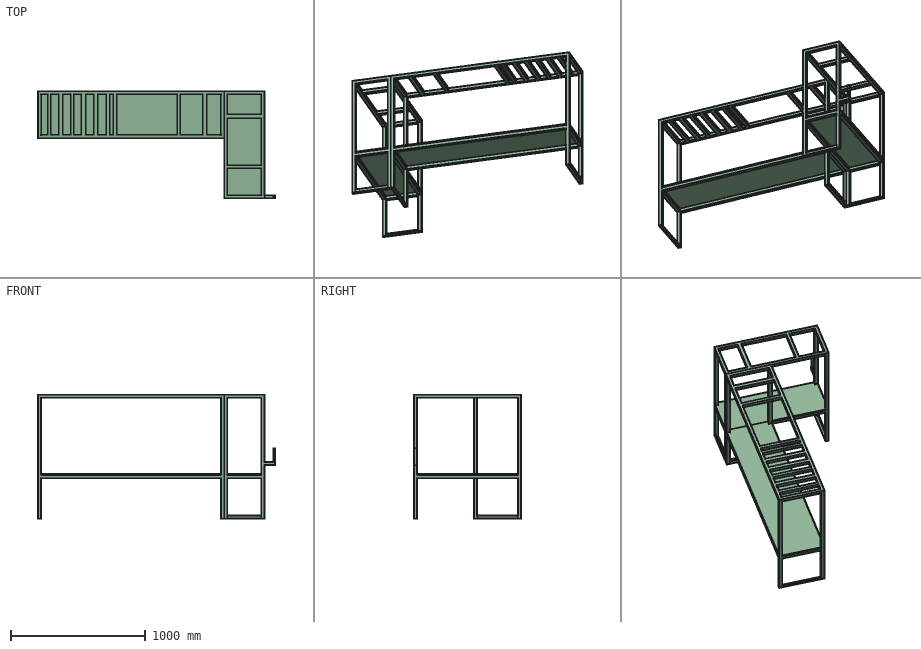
import cadquery as cq
TOTAL_LENGTH = 1770.0
HEIGHT = 925.0
TUBE = 25.0
WIDE_TUBE = 30.0

RETURN_WIDTH = 300.0
RETURN_DEPTH = 800.0
HOOK_REACH = 80.0
DESK_LENGTH = TOTAL_LENGTH - HOOK_REACH - RETURN_WIDTH
DESK_DEPTH = 352.0

SHELF_RAIL_BOTTOM = 300.0
SHELF_RAIL_TOP = SHELF_RAIL_BOTTOM + TUBE
TOP_RAIL_BOTTOM = HEIGHT - TUBE
BOARD_THICKNESS = 10.0
ANGLE_THICKNESS = 4.0

DESK_BARS = [
    (73.0, TUBE),
    (155.0, WIDE_TUBE),
    (245.0, TUBE),
    (325.0, WIDE_TUBE),
    (418.0, WIDE_TUBE),
    (511.0, TUBE),
    (563.0, TUBE),
    (1039.0, TUBE),
    (1228.0, WIDE_TUBE),
]
RETURN_BARS = [(223.0, TUBE), (596.0, WIDE_TUBE)]

HOOK_BOTTOM = 400.0
HOOK_TOP = 525.0
HOOK_POST_LENGTH = 16.0
HOOK_POST_WIDTH = 20.0

DESK_X = 0.0
DESK_Y = RETURN_DEPTH - DESK_DEPTH
RETURN_X = DESK_LENGTH
RETURN_Y = 0.0


def block(x, y, z, length, depth, height):
    """Box with its lowest corner at (x, y, z)."""
    return cq.Workplane("XY").box(length, depth, height, centered=False).translate((x, y, z))


def legs(x, y, length, depth, bottom, height):
    """Four square posts at the corners of a rectangle."""
    posts = cq.Workplane("XY")
    for post_x in (x, x + length - TUBE):
        for post_y in (y, y + depth - TUBE):
            posts = posts.add(block(post_x, post_y, bottom, TUBE, TUBE, height))
    return posts.combine()


def rails_along_x(x, y, z, length, depth):
    """Front and back rails of a rectangle."""
    front = block(x, y, z, length, TUBE, TUBE)
    return front.union(block(x, y + depth - TUBE, z, length, TUBE, TUBE))


def rails_along_y(x, y, z, length, depth):
    """Left and right rails of a rectangle."""
    left = block(x, y, z, TUBE, depth, TUBE)
    return left.union(block(x + length - TUBE, y, z, TUBE, depth, TUBE))


def foot_angle_along_x(x, y, length, web_y):
    """Angle iron between two feet: a flange on the floor and an upright web at web_y."""
    flange = block(x, y, 0, length, TUBE, ANGLE_THICKNESS)
    return flange.union(block(x, web_y, 0, length, ANGLE_THICKNESS, TUBE))


def foot_angle_along_y(x, y, depth, web_x):
    """Angle iron between two feet: a flange on the floor and an upright web at web_x."""
    flange = block(x, y, 0, TUBE, depth, ANGLE_THICKNESS)
    return flange.union(block(web_x, y, 0, ANGLE_THICKNESS, depth, TUBE))


def open_frame(x, y, length, depth):
    """Four legs joined by a ring of rails under the board and another at the top."""
    frame = legs(x, y, length, depth, 0, HEIGHT)
    for level in (SHELF_RAIL_BOTTOM, TOP_RAIL_BOTTOM):
        frame = frame.union(rails_along_x(x, y, level, length, depth))
        frame = frame.union(rails_along_y(x, y, level, length, depth))
    return frame


def make_desk_frame():
    """Long frame with an angle iron between the feet at each end."""
    frame = open_frame(DESK_X, DESK_Y, DESK_LENGTH, DESK_DEPTH)
    right_end = DESK_X + DESK_LENGTH
    frame = frame.union(foot_angle_along_y(DESK_X, DESK_Y, DESK_DEPTH, DESK_X))
    frame = frame.union(
        foot_angle_along_y(right_end - TUBE, DESK_Y, DESK_DEPTH, right_end - ANGLE_THICKNESS)
    )
    for start, width in DESK_BARS:
        frame = frame.union(block(DESK_X + start, DESK_Y, TOP_RAIL_BOTTOM, width, DESK_DEPTH, TUBE))
    return frame


def make_hook():
    """Arm out from the leg with an upright post on its end."""
    arm_x = RETURN_X + RETURN_WIDTH
    arm = block(arm_x, RETURN_Y, HOOK_BOTTOM, HOOK_REACH, TUBE, TUBE)
    post_x = arm_x + HOOK_REACH - HOOK_POST_LENGTH
    post_y = RETURN_Y + (TUBE - HOOK_POST_WIDTH) / 2
    post_height = HOOK_TOP - HOOK_BOTTOM
    return arm.union(block(post_x, post_y, HOOK_BOTTOM, HOOK_POST_LENGTH, HOOK_POST_WIDTH, post_height))


def make_return_frame():
    """Short frame with an angle iron between the feet at front and back, and the hook."""
    frame = open_frame(RETURN_X, RETURN_Y, RETURN_WIDTH, RETURN_DEPTH)
    back = RETURN_Y + RETURN_DEPTH
    frame = frame.union(foot_angle_along_x(RETURN_X, RETURN_Y, RETURN_WIDTH, RETURN_Y))
    frame = frame.union(
        foot_angle_along_x(RETURN_X, back - TUBE, RETURN_WIDTH, back - ANGLE_THICKNESS)
    )
    for start, width in RETURN_BARS:
        frame = frame.union(block(RETURN_X, RETURN_Y + start, TOP_RAIL_BOTTOM, RETURN_WIDTH, width, TUBE))
    return frame.union(make_hook())


def make_board(x, y, length, depth):
    """Board resting on the lower rails, notched around the four legs."""
    board = block(x, y, SHELF_RAIL_TOP, length, depth, BOARD_THICKNESS)
    return board.cut(legs(x, y, length, depth, SHELF_RAIL_TOP, BOARD_THICKNESS))


desk_frame = make_desk_frame()
return_frame = make_return_frame()
desk_board = make_board(DESK_X, DESK_Y, DESK_LENGTH, DESK_DEPTH)
return_board = make_board(RETURN_X, RETURN_Y, RETURN_WIDTH, RETURN_DEPTH)

result = cq.Compound.makeCompound(
    [desk_frame.val(), return_frame.val(), desk_board.val(), return_board.val()]
)